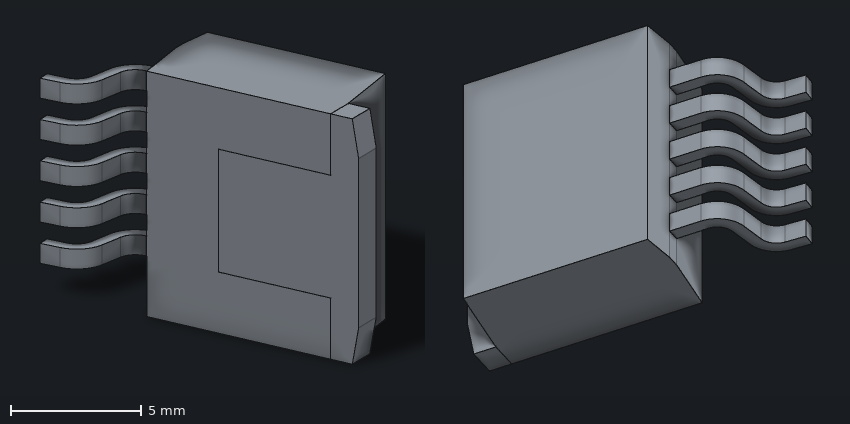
import cadquery as cq
import math


total_length = 14.35
lead_reach = 4.43
width = 10.16

case_height = 4.65
case_length = 8.65
draft_angle = math.radians(7)

tab_thickness = 1.28
tab_end = total_length - lead_reach
tab_corner_length = 0.29
tab_corner_width = 1.58
tongue_tip = 3.57
tongue_width = 5.08

lead_count = 5
lead_pitch = 1.71
lead_width = 0.83
lead_thickness = 0.56
lead_centre_height = 2.93
lead_shoulder = 1.36
lead_bend_radius = 1.03
lead_leg_length = 1.06
lead_leg_angle = math.radians(80)
lead_foot_angle = math.radians(3)


def draft_offset(height):
    """How far a drafted end face moves along X over the given height."""
    return height * math.tan(draft_angle)


def make_tab():
    """T-shaped plate: a wide end with bevelled corners, and a tongue under the case."""
    half_width = width / 2
    half_tongue = tongue_width / 2
    corner_start = tab_end - tab_corner_length
    corner_z = half_width - tab_corner_width
    return (
        cq.Workplane("XZ")
        .moveTo(tongue_tip, -half_tongue)
        .lineTo(case_length, -half_tongue)
        .lineTo(case_length, -half_width)
        .lineTo(corner_start, -half_width)
        .lineTo(tab_end, -corner_z)
        .lineTo(tab_end, corner_z)
        .lineTo(corner_start, half_width)
        .lineTo(case_length, half_width)
        .lineTo(case_length, half_tongue)
        .lineTo(tongue_tip, half_tongue)
        .close()
        .extrude(-tab_thickness)
    )


def make_case(tab):
    """Moulded block with drafted ends, a flat band for the leads and a pocket for the tab."""
    band_bottom = lead_centre_height - lead_thickness / 2
    band_top = lead_centre_height + lead_thickness / 2
    block = (
        cq.Workplane("XY")
        .moveTo(draft_offset(band_bottom), 0)
        .lineTo(case_length, 0)
        .lineTo(case_length, tab_thickness)
        .lineTo(case_length - draft_offset(case_height - tab_thickness), case_height)
        .lineTo(draft_offset(case_height - band_top), case_height)
        .lineTo(0, band_top)
        .lineTo(0, band_bottom)
        .close()
        .extrude(width / 2, both=True)
    )
    return block.cut(tab)


def make_lead(z):
    """Gull-wing lead of constant section, centred on the given Z."""

    def on_upper_bend(angle):
        """Point on the upper bend where the lead slopes at the given angle."""
        return (
            -lead_shoulder - lead_bend_radius * math.sin(angle),
            lead_centre_height - lead_bend_radius * (1 - math.cos(angle)),
        )

    leg_top = on_upper_bend(lead_leg_angle)
    leg_bottom = (
        leg_top[0] - lead_leg_length * math.cos(lead_leg_angle),
        leg_top[1] - lead_leg_length * math.sin(lead_leg_angle),
    )
    lower_centre = (
        leg_bottom[0] - lead_bend_radius * math.sin(lead_leg_angle),
        leg_bottom[1] + lead_bend_radius * math.cos(lead_leg_angle),
    )

    def on_lower_bend(angle):
        """Point on the lower bend where the lead slopes at the given angle."""
        return (
            lower_centre[0] + lead_bend_radius * math.sin(angle),
            lower_centre[1] - lead_bend_radius * math.cos(angle),
        )

    foot_start = on_lower_bend(lead_foot_angle)
    tip_x = -lead_reach + lead_thickness / 2 * math.sin(lead_foot_angle)
    tip = (tip_x, foot_start[1] - (foot_start[0] - tip_x) * math.tan(lead_foot_angle))

    path = (
        cq.Workplane("XY", origin=(0, 0, z))
        .moveTo(0, lead_centre_height)
        .lineTo(-lead_shoulder, lead_centre_height)
        .threePointArc(on_upper_bend(lead_leg_angle / 2), leg_top)
        .lineTo(*leg_bottom)
        .threePointArc(on_lower_bend((lead_leg_angle + lead_foot_angle) / 2), foot_start)
        .lineTo(*tip)
    )
    return (
        cq.Workplane("YZ", origin=(0, lead_centre_height, z))
        .rect(lead_thickness, lead_width)
        .sweep(path)
    )


tab = make_tab()
case = make_case(tab)

leads = []
for index in range(lead_count):
    lead_z = (index - (lead_count - 1) / 2) * lead_pitch
    leads.append(make_lead(lead_z).val())

result = cq.Compound.makeCompound([case.val(), tab.val(), *leads])